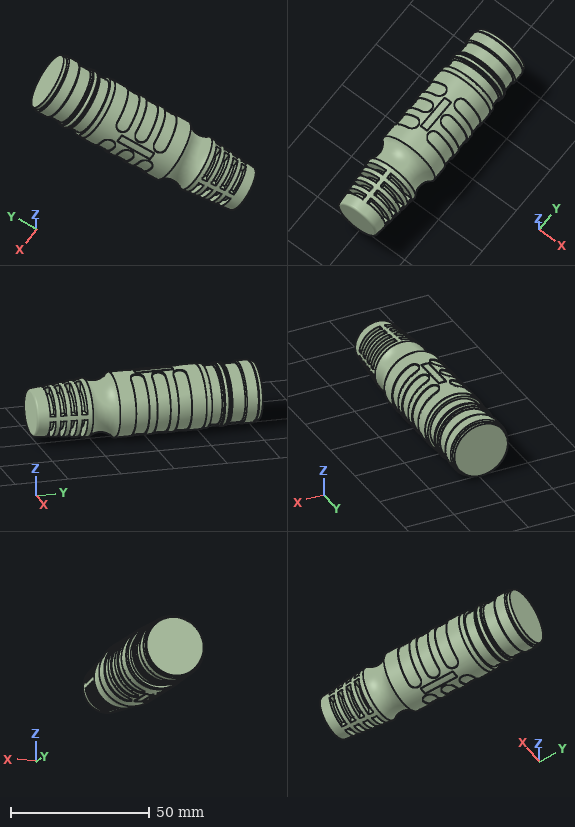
import cadquery as cq

LENGTH = 84.6

PLUG_RADIUS = 10.8
BAND_RADIUS = 11.5
BAND_CHAMFER = 0.5
BAND_START = 1.35
BAND_END = 6.7
FLANGE_START = 11.5
FLANGE_END = 15.4
COLLAR_START = 19.5
COLLAR_RADIUS = 11.85

RING_RADIUS = 11.8
GROOVE_WIDTH = 1.8
RING_SECTION_RADIUS = 0.8
RING_CENTRE_RADIUS = RING_RADIUS - RING_SECTION_RADIUS
RING_MIDDLE = 13.5
GROOVE_MIDDLE = (FLANGE_START + FLANGE_END) / 2
GROOVE_FLOOR_RADIUS = RING_CENTRE_RADIUS - RING_SECTION_RADIUS

GRIP_START = 21.5
GRIP_END = 54.15
GRIP_RADIUS = 12.0
FINGER_GROOVE_RADIUS = 11.6
FINGER_GROOVE_WIDTH = 5.0
FINGER_GROOVE_PITCH = 8.0
FINGER_GROOVE_COUNT = 3
FINGER_GROOVE_MIDDLE = 37.6
FINGER_GROOVE_GAP = 4.8
WINDOW_LENGTH = 14.05
WINDOW_WIDTH = 3.0
WINDOW_MIDDLE = 38.15
WINDOW_FLOOR_RADIUS = 11.8

WAIST_ARC_RADIUS = 7.45

TAIL_START = 64.0
TAIL_START_RADIUS = 10.8
TAIL_END_RADIUS = 8.8
TAIL_EDGE_FILLET = 0.9
VENT_FIRST = 67.1
VENT_PITCH = 3.9
VENT_COUNT = 4
VENT_WIDTH = 2.0
VENT_CORE_RADIUS = 7.0
VENT_RIB_WIDTH = 2.1

CUTTER_RADIUS = 16.9


def at(distance_from_plug_end):
    """Y coordinate of a point given by its distance from the plug end."""
    return LENGTH - distance_from_plug_end


def disc(radius, middle, width):
    """Solid disc about the Y axis."""
    start = at(middle + width / 2)
    return cq.Workplane("XZ", origin=(0, start, 0)).circle(radius).extrude(-width)


def tube(outer_radius, inner_radius, middle, width):
    """Hollow disc about the Y axis."""
    return disc(outer_radius, middle, width).cut(disc(inner_radius, middle, width))


def raised_band(profile, start, end):
    """Continue the plug profile over a band with chamfered edges standing on low steps."""
    step_radius = BAND_RADIUS - BAND_CHAMFER
    return (
        profile
        .lineTo(PLUG_RADIUS, at(start))
        .lineTo(step_radius, at(start))
        .lineTo(BAND_RADIUS, at(start + BAND_CHAMFER))
        .lineTo(BAND_RADIUS, at(end - BAND_CHAMFER))
        .lineTo(step_radius, at(end))
        .lineTo(PLUG_RADIUS, at(end))
    )


def turned_blank():
    """Plug, grip, waist and tail turned as one piece, before any cuts."""
    profile = cq.Workplane("XY").moveTo(0, at(0)).lineTo(PLUG_RADIUS, at(0))
    for start, end in [(BAND_START, BAND_END), (FLANGE_START, FLANGE_END)]:
        profile = raised_band(profile, start, end)
    profile = (
        profile
        .lineTo(PLUG_RADIUS, at(COLLAR_START))
        .lineTo(COLLAR_RADIUS, at(COLLAR_START))
        .lineTo(COLLAR_RADIUS, at(GRIP_START))
        .lineTo(GRIP_RADIUS, at(GRIP_START))
        .lineTo(GRIP_RADIUS, at(GRIP_END))
        .radiusArc((TAIL_START_RADIUS, at(TAIL_START)), -WAIST_ARC_RADIUS)
        .lineTo(TAIL_END_RADIUS, 0)
        .lineTo(0, 0)
        .close()
    )
    blank = profile.revolve(360, (0, 0, 0), (0, 1, 0))
    return blank.faces("<Y").edges().fillet(TAIL_EDGE_FILLET)


def ring_groove():
    """Groove in the flange, slightly wider than the sealing ring seated on its floor."""
    return tube(CUTTER_RADIUS, GROOVE_FLOOR_RADIUS, GROOVE_MIDDLE, GROOVE_WIDTH)


def finger_grooves():
    """Shallow bands around both flanks, with round ends near the top and bottom of the grip."""
    slot_length = 2 * CUTTER_RADIUS
    slot_centre = FINGER_GROOVE_GAP / 2 + slot_length / 2
    grooves = cq.Workplane("XY")
    for index in range(FINGER_GROOVE_COUNT):
        step = index - (FINGER_GROOVE_COUNT - 1) / 2
        middle = FINGER_GROOVE_MIDDLE + step * FINGER_GROOVE_PITCH
        flanks = (
            cq.Workplane("XY")
            .pushPoints([(-slot_centre, at(middle)), (slot_centre, at(middle))])
            .slot2D(slot_length, FINGER_GROOVE_WIDTH)
            .extrude(CUTTER_RADIUS, both=True)
        )
        band = tube(CUTTER_RADIUS, FINGER_GROOVE_RADIUS, middle, FINGER_GROOVE_WIDTH)
        grooves = grooves.add(band.intersect(flanks))
    return grooves


def windows():
    """Shallow label recesses on the top and bottom of the grip."""
    plate = cq.Workplane("XY", origin=(0, at(WINDOW_MIDDLE), 0)).box(
        WINDOW_WIDTH, WINDOW_LENGTH, 2 * CUTTER_RADIUS
    )
    return plate.cut(disc(WINDOW_FLOOR_RADIUS, WINDOW_MIDDLE, WINDOW_LENGTH))


def vents():
    """Rings of slots in the tail, split into quadrants by four ribs."""
    cuts = cq.Workplane("XY")
    for index in range(VENT_COUNT):
        middle = VENT_FIRST + index * VENT_PITCH
        ring = tube(CUTTER_RADIUS, VENT_CORE_RADIUS, middle, VENT_WIDTH)
        centre = cq.Workplane("XY", origin=(0, at(middle), 0))
        ribs = centre.box(2 * CUTTER_RADIUS, VENT_WIDTH, VENT_RIB_WIDTH).union(
            centre.box(VENT_RIB_WIDTH, VENT_WIDTH, 2 * CUTTER_RADIUS)
        )
        cuts = cuts.add(ring.cut(ribs))
    return cuts


def make_housing():
    """One-piece connector housing."""
    housing = turned_blank().cut(ring_groove()).cut(windows())
    for cutter in finger_grooves().vals() + vents().vals():
        housing = housing.cut(cq.Workplane(cutter))
    return housing.solids()


def make_sealing_ring():
    """Round-section ring standing slightly proud of the flange."""
    return (
        cq.Workplane("XY")
        .center(RING_CENTRE_RADIUS, at(RING_MIDDLE))
        .circle(RING_SECTION_RADIUS)
        .revolve(360, (-RING_CENTRE_RADIUS, 0, 0), (-RING_CENTRE_RADIUS, 1, 0))
    )


housing = make_housing()
sealing_ring = make_sealing_ring()
result = cq.Compound.makeCompound([housing.val(), sealing_ring.val()])